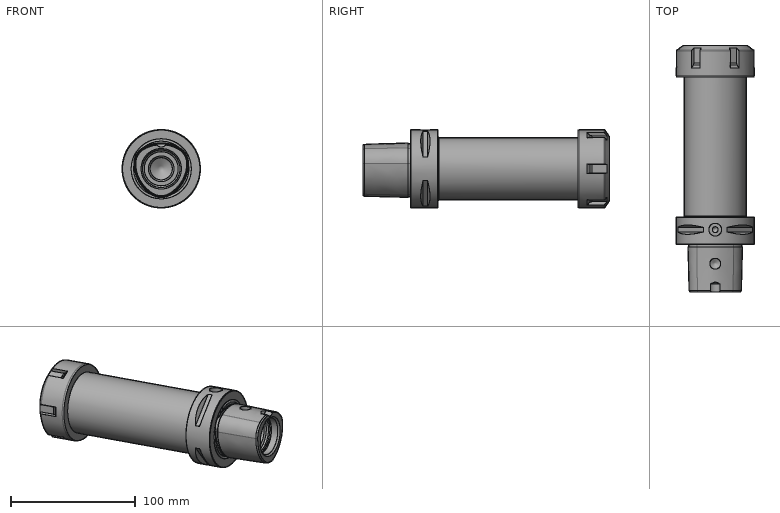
import cadquery as cq
import math


total_length = 198.0
taper_length = 38.0
flange_width = 22.2
flange_radius = 31.5
shank_radius = 25.0
shank_root_chamfer = 0.8
flange_edge_chamfer = 0.4
nut_length = 25.3
nut_radius = flange_radius
taper_end_y = -taper_length
nut_front_y = total_length - taper_length
nut_back_y = nut_front_y - nut_length

lobe_center_distance = 8.7
lobe_radius = 14.5
taper_shrink_rate = 0.025
lobe_directions = (30, 150, 270)
arc_half_angle = 30
taper_end_chamfer_length = 1.4
taper_end_chamfer_depth = 0.5
neck_length = 1.8
neck_inset = 0.5

face_groove_center_radius = 23.2
face_groove_radius = 1.0

bore_mouth_radius = 16.2
bore_radius = 15.0
bore_mouth_depth = 1.5
bore_groove_depth = 0.8
bore_groove_start = 7.3
bore_groove_end = 10.0
lip_start_depth = 12.0
lip_end_depth = 13.3
deep_bore_radius = 13.7
deep_bore_depth = 35.6
pilot_mouth_radius = 10.3
pilot_radius = 9.0
pilot_depth = 4.0
drill_point_angle = 118.0

side_hole_radius = 4.4
side_hole_y = -15.2
side_hole_floor_z = 16.5
key_slot_radius = 4.5
key_slot_axis_z = 22.0
key_slot_length = 6.3

rim_feature_y = 12.0
gripper_groove_floor = 28.0
gripper_groove_floor_width = 3.5
gripper_groove_rim_width = 7.5
gripper_groove_angles = (45, 135, 225, 315)
chip_pocket_radius = 5.1
chip_pocket_depth = 4.5
chip_hole_radius = 2.4
chip_hole_depth = 2.0

nut_face_radius = 25.7
nut_cone_length = 4.0
nut_cone_fillet = 1.0
nut_back_chamfer_length = 1.4
nut_back_chamfer_depth = 0.4
nut_slot_count = 6
nut_slot_width = 8.0
nut_slot_floor_width = 6.5
nut_slot_floor_radius = 28.5
nut_slot_floor_length = 14.0
nut_slot_ramp_length = 15.8
nut_slot_ramp_radius = 29.1
nut_slot_length = 18.2
slot_overshoot = 2.0


def turned(points):
    """Solid of revolution about Y from (radius, y) points."""
    return cq.Workplane("XY").polyline(points).close().revolve(360, (0, 0, 0), (0, 1, 0))


def cone_height(radius):
    """Height of a drill point of the given radius."""
    return radius / math.tan(math.radians(drill_point_angle / 2))


def polar(distance, angle):
    """Flat coordinates of a point at a distance and an angle in degrees."""
    return (distance * math.cos(math.radians(angle)), distance * math.sin(math.radians(angle)))


def lobed_wire(y, radius):
    """Constant-width outline of six tangent arcs in the XZ plane at the given y."""
    flat_radius = radius + lobe_center_distance * math.sqrt(3)

    def arc_point(center_angle, arc_radius, angle):
        cx, cz = polar(lobe_center_distance, center_angle)
        dx, dz = polar(arc_radius, angle)
        return (cx + dx, cz + dz)

    first = lobe_directions[0]
    outline = cq.Workplane("XZ", origin=(0, y, 0)).moveTo(*arc_point(first, radius, first - arc_half_angle))
    for lobe in lobe_directions:
        outline = outline.threePointArc(
            arc_point(lobe, radius, lobe), arc_point(lobe, radius, lobe + arc_half_angle)
        )
        flat = lobe + 2 * arc_half_angle
        opposite = flat + 180
        outline = outline.threePointArc(
            arc_point(opposite, flat_radius, flat),
            arc_point(opposite, flat_radius, flat + arc_half_angle),
        )
    return outline.close().val()


def lobed_section(start_y, start_radius, end_y, end_radius):
    """Straight-sided length of the taper between two outlines with the given lobe radii."""
    wires = [lobed_wire(start_y, start_radius), lobed_wire(end_y, end_radius)]
    return cq.Workplane(cq.Solid.makeLoft(wires, True))


def make_taper():
    """Neck, tapered length and end chamfer of the polygon shank."""
    def radius_at(y):
        return lobe_radius + taper_shrink_rate * y

    neck_radius = lobe_radius - neck_inset
    chamfer_y = taper_end_y + taper_end_chamfer_length
    end_radius = radius_at(taper_end_y) - taper_end_chamfer_depth
    neck = lobed_section(face_groove_radius, neck_radius, -neck_length, neck_radius)
    cone = lobed_section(-neck_length, radius_at(-neck_length), chamfer_y, radius_at(chamfer_y))
    tip = lobed_section(chamfer_y, radius_at(chamfer_y), taper_end_y, end_radius)
    return neck.union(cone).union(tip)


def make_turned_holder():
    """Flange and cylindrical shank, with the round groove in the flange face."""
    flange = (
        cq.Workplane("XZ").circle(flange_radius).extrude(-flange_width)
        .edges().chamfer(flange_edge_chamfer)
    )
    shank = turned([
        (0, 0),
        (shank_radius + shank_root_chamfer, 0),
        (shank_radius + shank_root_chamfer, flange_width),
        (shank_radius, flange_width + shank_root_chamfer),
        (shank_radius, nut_back_y),
        (0, nut_back_y),
    ])
    face_groove = cq.Workplane(
        cq.Solid.makeTorus(
            face_groove_center_radius, face_groove_radius, cq.Vector(0, 0, 0), cq.Vector(0, 1, 0)
        )
    )
    return flange.union(shank).cut(face_groove)


def bore_cutter():
    """Mouth chamfer, bore with its groove and lip, deep bore and drilled pilot hole."""
    groove_radius = bore_radius + bore_groove_depth
    floor_y = taper_end_y + deep_bore_depth
    pilot_mouth_y = floor_y + pilot_mouth_radius - pilot_radius
    pilot_end_y = floor_y + pilot_depth
    return turned([
        (0, taper_end_y),
        (bore_mouth_radius, taper_end_y),
        (bore_radius, taper_end_y + bore_mouth_depth),
        (bore_radius, taper_end_y + bore_groove_start),
        (groove_radius, taper_end_y + bore_groove_start + bore_groove_depth),
        (groove_radius, taper_end_y + bore_groove_end - bore_groove_depth),
        (bore_radius, taper_end_y + bore_groove_end),
        (bore_radius, taper_end_y + lip_start_depth),
        (deep_bore_radius, taper_end_y + lip_end_depth),
        (deep_bore_radius, floor_y),
        (pilot_mouth_radius, floor_y),
        (pilot_radius, pilot_mouth_y),
        (pilot_radius, pilot_end_y),
        (0, pilot_end_y + cone_height(pilot_radius)),
    ])


def drilled(radius, depth, start, direction):
    """Blind drilled hole with a conical bottom."""
    start = cq.Vector(*start)
    direction = cq.Vector(*direction)
    hole = cq.Solid.makeCylinder(radius, depth, start, direction)
    point = cq.Solid.makeCone(radius, 0, cone_height(radius), start + direction * depth, direction)
    return cq.Workplane(hole).union(cq.Workplane(point))


def side_hole_cutter():
    depth = flange_radius - side_hole_floor_z
    return drilled(side_hole_radius, depth, (0, side_hole_y, flange_radius), (0, 0, -1))


def key_slot_cutter():
    return drilled(key_slot_radius, key_slot_length, (0, taper_end_y, key_slot_axis_z), (0, 1, 0))


def chip_pocket_cutter():
    """Counterbored blind hole in the flange rim."""
    floor_z = flange_radius - chip_pocket_depth
    pocket = cq.Workplane("XY", origin=(0, rim_feature_y, floor_z)).circle(chip_pocket_radius)
    hole = drilled(chip_hole_radius, chip_hole_depth, (0, rim_feature_y, floor_z), (0, 0, -1))
    return pocket.extrude(2 * chip_pocket_depth).union(hole)


def gripper_groove_cutter(angle):
    """Straight trapezoidal groove across the flange rim, facing the given direction."""
    rim_depth = flange_radius - gripper_groove_floor
    floor_half = gripper_groove_floor_width / 2
    rim_half = gripper_groove_rim_width / 2
    groove = (
        cq.Workplane("XY")
        .polyline([
            (gripper_groove_floor, rim_feature_y - floor_half),
            (gripper_groove_floor + rim_depth, rim_feature_y - rim_half),
            (gripper_groove_floor + rim_depth, rim_feature_y + rim_half),
            (gripper_groove_floor, rim_feature_y + floor_half),
        ])
        .close()
        .extrude(flange_radius, both=True)
    )
    return groove.rotate((0, 0, 0), (0, 1, 0), angle)


def make_holder():
    holder = make_turned_holder().union(make_taper())
    holder = holder.cut(bore_cutter()).cut(side_hole_cutter()).cut(key_slot_cutter())
    holder = holder.cut(chip_pocket_cutter())
    for angle in gripper_groove_angles:
        holder = holder.cut(gripper_groove_cutter(angle))
    return holder


def nut_slot_cutter(angle):
    """Spanner slot from the nut face, narrowing to a floor that ends in a ramp and a sloping wall."""
    end_slope = (nut_slot_length - nut_slot_ramp_length) / (nut_radius - nut_slot_ramp_radius)
    outside = nut_radius + slot_overshoot
    side_profile = (
        cq.Workplane("XY")
        .polyline([
            (outside, nut_front_y),
            (nut_slot_floor_radius, nut_front_y),
            (nut_slot_floor_radius, nut_front_y - nut_slot_floor_length),
            (nut_slot_ramp_radius, nut_front_y - nut_slot_ramp_length),
            (outside, nut_front_y - nut_slot_length - end_slope * slot_overshoot),
        ])
        .close()
        .extrude(nut_slot_width, both=True)
    )
    rim_half = nut_slot_width / 2
    floor_half = nut_slot_floor_width / 2
    wall_slope = (rim_half - floor_half) / (nut_radius - nut_slot_floor_radius)
    outside_half = rim_half + wall_slope * slot_overshoot
    cross_section = (
        cq.Workplane("XZ", origin=(0, nut_front_y, 0))
        .polyline([
            (nut_slot_floor_radius, -floor_half),
            (outside, -outside_half),
            (outside, outside_half),
            (nut_slot_floor_radius, floor_half),
        ])
        .close()
        .extrude(nut_length)
    )
    return side_profile.intersect(cross_section).rotate((0, 0, 0), (0, 1, 0), angle)


def make_nut():
    nut = turned([
        (0, nut_back_y),
        (nut_radius - nut_back_chamfer_depth, nut_back_y),
        (nut_radius, nut_back_y + nut_back_chamfer_length),
        (nut_radius, nut_front_y - nut_cone_length),
        (nut_face_radius, nut_front_y),
        (0, nut_front_y),
    ])
    cone_base = cq.selectors.NearestToPointSelector((0, nut_front_y - nut_cone_length, 0))
    nut = nut.edges(cone_base).fillet(nut_cone_fillet)
    for index in range(nut_slot_count):
        nut = nut.cut(nut_slot_cutter(index * 360 / nut_slot_count))
    return nut


holder = make_holder()
nut = make_nut()
result = cq.Compound.makeCompound([holder.val(), nut.val()])